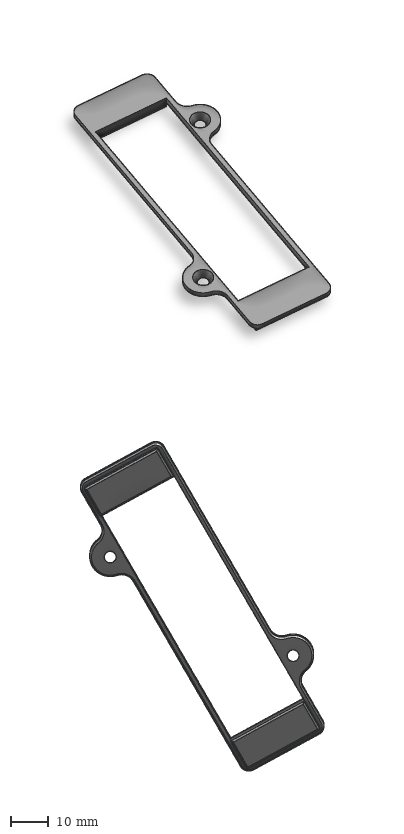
import cadquery as cq

length = 91.0
width = 25.0
overall_width = 39.95
plate_thickness = 2.0
pad_height = 2.0
corner_radius = 2.55
edge_chamfer = 0.5

window_length = 70.4
window_width = 22.2
pad_inset = 1.5

lug_radius = 5.5
lug_offset_y = overall_width / 2 - lug_radius
lug_fillet = 3.55
rear_lug_x = -23.9
front_lug_x = 23.3

screw_hole_bottom_diameter = 3.1
screw_hole_top_diameter = 5.55

pad_length = (length - window_length) / 2 - pad_inset
pad_center_x = (window_length + pad_length) / 2
lug_centers = [(rear_lug_x, lug_offset_y), (front_lug_x, -lug_offset_y)]


def make_plate():
    """Rounded plate with two blended screw lugs and a chamfered lower rim."""
    plate = (
        cq.Workplane("XY")
        .rect(length, width)
        .extrude(plate_thickness)
        .edges("|Z")
        .fillet(corner_radius)
    )
    lugs = cq.Workplane("XY").pushPoints(lug_centers).circle(lug_radius).extrude(plate_thickness)
    plate = plate.union(lugs)

    lug_reach = 2 * lug_radius
    for x, y in lug_centers:
        side_y = width / 2 if y > 0 else -width / 2
        near_lug = cq.selectors.BoxSelector(
            (x - lug_reach, side_y - edge_chamfer, -plate_thickness),
            (x + lug_reach, side_y + edge_chamfer, 2 * plate_thickness),
        )
        plate = plate.edges("|Z").edges(near_lug).fillet(lug_fillet)

    return plate.faces("<Z").edges().chamfer(edge_chamfer)


def make_pads():
    """Two locating pads under the ends of the plate, chamfered at the bottom."""
    return (
        cq.Workplane("XY")
        .pushPoints([(-pad_center_x, 0), (pad_center_x, 0)])
        .rect(pad_length, window_width)
        .extrude(-pad_height)
        .faces("<Z")
        .chamfer(edge_chamfer)
    )


def cut_window(body):
    """Rectangular opening between the pads."""
    window = cq.Workplane("XY").rect(window_length, window_width).extrude(plate_thickness)
    return body.cut(window)


def cut_screw_holes(body):
    """Conical screw hole through each lug, wide at the top."""
    for center in lug_centers:
        cone = (
            cq.Workplane("XY")
            .center(*center)
            .circle(screw_hole_bottom_diameter / 2)
            .workplane(offset=plate_thickness)
            .circle(screw_hole_top_diameter / 2)
            .loft()
        )
        body = body.cut(cone)
    return body


plate = cut_window(make_plate())
plate = cut_screw_holes(plate)
result = plate.union(make_pads())